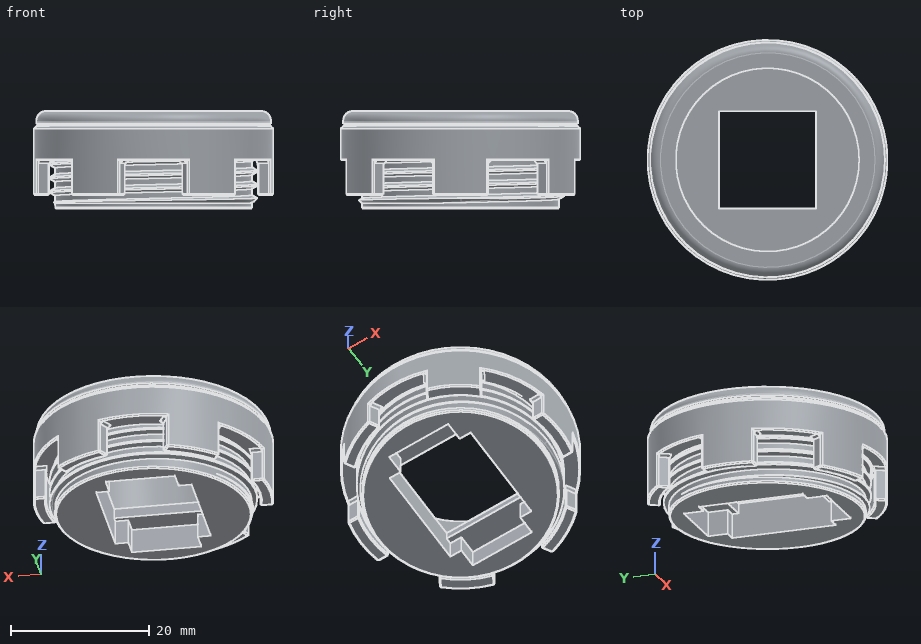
import cadquery as cq
import math

total_height = 14.2
flange_bottom = 12.2
ring_top = 12.0
ring_bottom = 2.0
slot_roof = 7.0
floor_top = 5.15
plate_thickness = 1.5
edge_chamfer = 0.2

flange_diameter = 34.0
flange_fillet = 1.5
core_diameter = 28.5
cup_diameter = 26.5
thread_diameter = 30.0
thread_pitch = 2.0
thread_base_width = 1.1
thread_crest_width = 0.25
thread_start = -0.535
thread_bottom = 0.8
thread_top = ring_top
thread_overlap = 0.15

opening_side = 14.0
relief_length = 15.95
clip_pocket_width = 10.2
clip_pocket_length = 22.0

seal_center_diameter = 29.82
seal_section_diameter = 1.8
seal_center_z = ring_top + seal_section_diameter / 2

ring_diameter = 34.68
ring_top_chamfer = 0.4
finger_bore_diameter = 31.0
ring_minor_diameter = 29.05
ring_major_diameter = 30.4
groove_base_width = 1.1
groove_crest_width = 0.35
groove_overrun = 0.35
finger_count = 6
finger_width = 7.98
bar_length = ring_diameter + 0.7
gusset_leg = 0.4
gusset_overlap = 0.17
gusset_inset = 0.25


def cylinder(diameter, bottom, top):
    """Upright cylinder on the Z axis between two levels."""
    return cq.Workplane("XY").workplane(offset=bottom).circle(diameter / 2).extrude(top - bottom)


def box(length_x, length_y, bottom, top):
    """Box centred on the Z axis between two levels."""
    return cq.Workplane("XY").workplane(offset=bottom).rect(length_x, length_y).extrude(top - bottom)


def helical_ridge(root_diameter, crest_diameter, base_width, crest_width, envelope):
    """Right-hand trapezoidal ridge, rooted slightly inside the root diameter and trimmed to an envelope."""
    root = root_diameter / 2 - thread_overlap
    crest = crest_diameter / 2
    flank_slope = (base_width - crest_width) / (crest_diameter - root_diameter)
    half_base = base_width / 2 + flank_slope * thread_overlap
    half_crest = crest_width / 2
    turns = math.ceil((ring_top + base_width - thread_start) / thread_pitch)
    path = cq.Wire.makeHelix(thread_pitch, turns * thread_pitch, root)
    section = cq.Workplane("XZ").polyline(
        [(root, -half_base), (crest, -half_crest), (crest, half_crest), (root, half_base)]
    ).close()
    ridge = section.sweep(cq.Workplane("XY").add(path), isFrenet=True)
    ridge = ridge.translate((0, 0, thread_start))
    return ridge.intersect(envelope, clean=False)


def make_seal():
    """Round-section seal ring resting on top of the threaded ring."""
    torus = cq.Solid.makeTorus(seal_center_diameter / 2, seal_section_diameter / 2)
    return cq.Workplane("XY").add(torus.translate(cq.Vector(0, 0, seal_center_z)))


def make_cap(seal):
    """Flanged cup with its thread, its floor opening and a seat for the seal."""
    core = cylinder(core_diameter, 0, flange_bottom + edge_chamfer).faces("<Z").chamfer(edge_chamfer)
    flange = cylinder(flange_diameter, flange_bottom, total_height)
    flange = flange.faces(">Z").edges().fillet(flange_fillet).faces("<Z").edges().chamfer(edge_chamfer)

    lead_in = (ring_diameter - core_diameter) / 2
    envelope = cylinder(ring_diameter, thread_bottom, thread_top).faces("<Z").chamfer(lead_in)
    thread = helical_ridge(
        core_diameter, thread_diameter, thread_base_width, thread_crest_width, envelope
    )

    plate_bottom = floor_top - plate_thickness
    cap = core.union(flange)
    cap = cap.cut(cylinder(cup_diameter, floor_top, total_height))
    cap = cap.cut(box(opening_side, opening_side, 0, floor_top))
    cap = cap.cut(box(opening_side, relief_length, 0, plate_bottom))
    cap = cap.cut(box(clip_pocket_width, clip_pocket_length, 0, plate_bottom))
    return cap.cut(seal).union(thread, clean=False)


def around_axis(bar):
    """Bar across the Z axis, repeated so that its ends make all the fingers."""
    bars = bar
    for index in range(1, finger_count // 2):
        bars = bars.union(bar.rotate((0, 0, 0), (0, 0, 1), index * 360 / finger_count))
    return bars


def make_fingers():
    """Outer sleeve with fingers below the slot roofs, bevelled along all edges but the roof corners."""
    tube = cylinder(ring_diameter, ring_bottom, ring_top)
    tube = tube.cut(cylinder(finger_bore_diameter, ring_bottom, ring_top))
    bars = around_axis(box(bar_length, finger_width, ring_bottom, ring_top))
    sleeve = tube.intersect(bars.union(cylinder(bar_length, slot_roof, ring_top)))

    finger_edges = [edge for edge in sleeve.edges().vals() if edge.Center().z < slot_roof - edge_chamfer]
    roof_edges = [
        edge
        for edge in sleeve.edges("%CIRCLE").vals()
        if abs(edge.Center().z - slot_roof) < edge_chamfer
        and edge.radius() > finger_bore_diameter / 2 + edge_chamfer
    ]
    sleeve = sleeve.newObject(finger_edges + roof_edges).chamfer(edge_chamfer)
    top_edge = sleeve.faces(">Z").edges(cq.selectors.RadiusNthSelector(-1))
    return top_edge.chamfer(ring_top_chamfer)


def make_gussets():
    """Sloped fillings of the corners between the fingers and the slot roofs."""
    half_width = finger_width / 2
    narrow = half_width - gusset_overlap
    wide = half_width + gusset_leg + gusset_overlap
    bottom = slot_roof - gusset_leg - gusset_overlap
    top = slot_roof + gusset_overlap
    profile = cq.Workplane("YZ").polyline(
        [(-narrow, bottom), (narrow, bottom), (wide, top), (-wide, top)]
    ).close()
    bars = around_axis(profile.extrude(bar_length / 2, both=True))
    bars = bars.intersect(cylinder(ring_diameter - 2 * gusset_inset, bottom, top))
    return bars.cut(cylinder(finger_bore_diameter, bottom, top))


def make_ring():
    """Castellated ring whose inner thread runs around the cap thread with clearance."""
    liner = cylinder(finger_bore_diameter, slot_roof, ring_top)
    liner = liner.cut(cylinder(ring_minor_diameter, slot_roof, ring_top))
    envelope = cylinder(ring_diameter, slot_roof - groove_overrun, ring_top + groove_overrun)
    groove = helical_ridge(
        ring_minor_diameter, ring_major_diameter, groove_base_width, groove_crest_width, envelope
    )
    return make_fingers().union(liner).union(make_gussets()).cut(groove, clean=False)


seal = make_seal()
cap = make_cap(seal)
ring = make_ring()

result = cq.Compound.makeCompound([cap.val(), ring.val(), seal.val()])